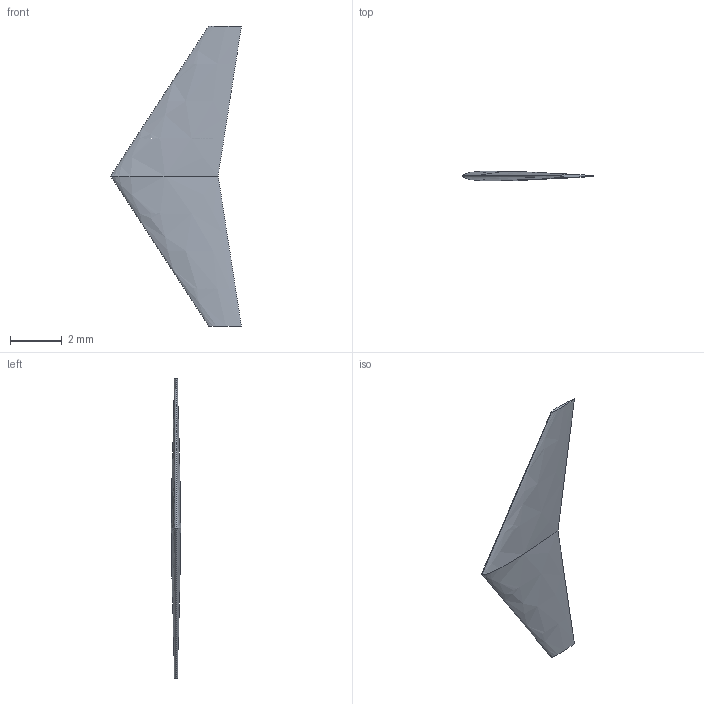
import cadquery as cq
import math

SPAN = 11.59
ROOT_CHORD = 4.15
TIP_CHORD = 1.26
OVERALL_LENGTH = 5.05
ROOT_THICKNESS = 0.404

HALF_SPAN = SPAN / 2
TIP_SETBACK = OVERALL_LENGTH - TIP_CHORD
THICKNESS_RATIO = ROOT_THICKNESS / ROOT_CHORD

NACA_SCALE = 5
NACA_ROOT_TERM = 0.2969
NACA_POWER_TERMS = (-0.1260, -0.3516, 0.2843, -0.1036)
INTERVALS = 20


def half_thickness(x):
    """Half thickness of the symmetric unit-chord airfoil at chord position x."""
    shape = NACA_ROOT_TERM * math.sqrt(x)
    for power, factor in enumerate(NACA_POWER_TERMS, start=1):
        shape += factor * x**power
    return NACA_SCALE * THICKNESS_RATIO * shape


def airfoil_side(chord, leading_x, z, side):
    """Curve from the leading edge to the sharp trailing edge on the +Y or -Y side."""
    points = [cq.Vector(leading_x, 0, z)]
    for i in range(1, INTERVALS):
        x = (1 - math.cos(math.pi * i / INTERVALS)) / 2
        points.append(cq.Vector(leading_x + chord * x, side * chord * half_thickness(x), z))
    points.append(cq.Vector(leading_x + chord, 0, z))
    return cq.Edge.makeSpline(points)


def airfoil(chord, leading_x, z):
    """Closed airfoil section parallel to the XY plane."""
    sides = [airfoil_side(chord, leading_x, z, side) for side in (1, -1)]
    return cq.Wire.assembleEdges(sides)


def half_wing(direction):
    """Straight loft from the root section to the tip at +Z or -Z."""
    root = airfoil(ROOT_CHORD, 0, 0)
    tip = airfoil(TIP_CHORD, TIP_SETBACK, direction * HALF_SPAN)
    return cq.Workplane(obj=cq.Solid.makeLoft([root, tip], True))


result = half_wing(1).union(half_wing(-1))